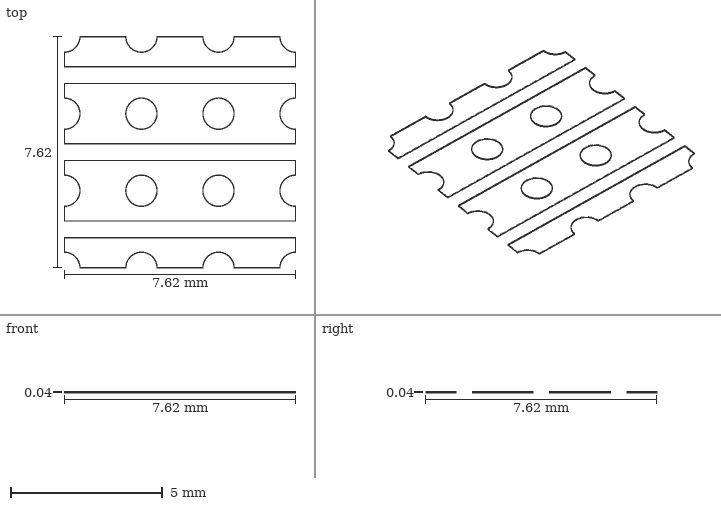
import cadquery as cq

board_size = 7.62
pitches_per_side = 3
strip_width = 2.0
strip_thickness = 0.04
hole_diameter = 1.02

half_board = board_size / 2
hole_pitch = board_size / pitches_per_side
edge_strip_width = strip_width / 2
hole_columns = [i * hole_pitch - half_board for i in range(pitches_per_side + 1)]
inner_rows = hole_columns[1:-1]
edge_sides = (-1, 1)


def drilled_strip(center_y, width, hole_row_y):
    """Flat strip along X with one row of holes; holes on its border become notches."""
    blank = (
        cq.Workplane("XY")
        .center(0, center_y)
        .rect(board_size, width)
        .extrude(strip_thickness)
    )
    holes = (
        cq.Workplane("XY")
        .pushPoints([(x, hole_row_y) for x in hole_columns])
        .circle(hole_diameter / 2)
        .extrude(strip_thickness)
    )
    return blank.cut(holes).solids()


def inner_strip(row_y):
    """Full-width strip with its holes along the centre line."""
    return drilled_strip(row_y, strip_width, row_y)


def edge_strip(side):
    """Half-width strip with its holes along the outer edge of the board."""
    center_y = side * (half_board - edge_strip_width / 2)
    return drilled_strip(center_y, edge_strip_width, side * half_board)


inner_strips = [inner_strip(row_y) for row_y in inner_rows]
edge_strips = [edge_strip(side) for side in edge_sides]

result = cq.Compound.makeCompound([strip.val() for strip in inner_strips + edge_strips])